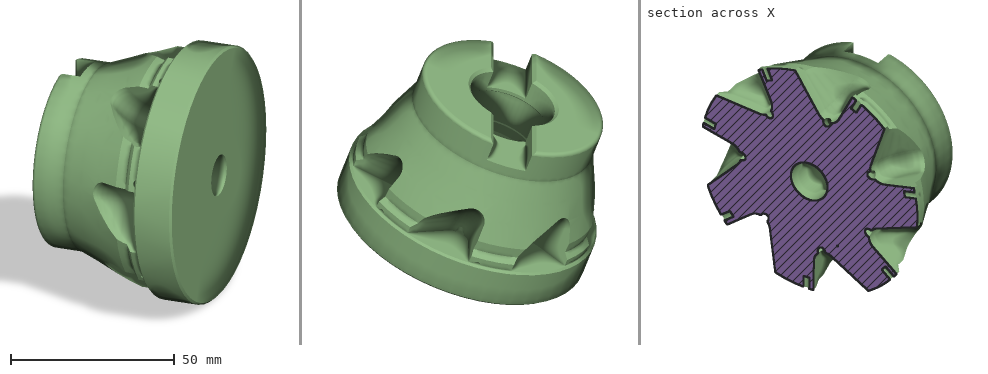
import cadquery as cq
import math

LENGTH = 49.95
FLANGE_RADIUS = 40.0
FLANGE_FACE = 37.4
FLANGE_CHAMFER = 0.6

HUB_RADIUS = 29.2
HUB_EDGE_FILLET = 1.3
CONE_START = 10.3
CONE_END = 30.45
BAND_RADIUS = 37.1
BAND_END = 33.6
COLLAR_RADIUS = 38.85
COLLAR_START = 35.25

BORE_RADIUS = 13.6
BORE_DEPTH = 22.0
BORE_CHAMFER = 0.95
RELIEF_RADIUS = 13.9
RELIEF_START = 8.0
RELIEF_END = 18.95
RELIEF_STEP = RELIEF_RADIUS - BORE_RADIUS
THROUGH_RADIUS = 6.5
THROUGH_CHAMFER = 0.95

SLOT_WIDTH = 12.5
SLOT_DEPTH = 6.95
SLOT_CHAMFER = 1.0

FLUTE_COUNT = 7
CUTTER_FACE_RADIUS = 12.7
CUTTER_RIM_RADIUS = 4.1
CUTTER_HALF_ANGLE = math.radians(30)
CUTTER_HEIGHT = 21.1
CUTTER_CENTER = (FLANGE_FACE, -40.0, 7.5)
CUTTER_AXIS = (-0.08, -0.24, -0.97)

COOLANT_RADIUS = 1.3
COOLANT_START = (BORE_DEPTH - 2.4, -11.35, -1.6)
COOLANT_END = (39.65, -26.4, 1.4)

COLLAR_HOLE_RADIUS = 1.3
COLLAR_HOLE_DEPTH = 4.0
COLLAR_HOLE_OFFSET = 0.5
COLLAR_HOLE_ANGLE = 14.4


def around_axis(shape):
    """Yield one copy of the shape per flute, evenly turned about the X axis."""
    for index in range(FLUTE_COUNT):
        turn = index * 360 / FLUTE_COUNT
        yield cq.Workplane(shape.rotate(cq.Vector(0, 0, 0), cq.Vector(1, 0, 0), turn))


def make_body():
    """Hub, cone, band and collar, running on into the flange."""
    outline = (
        cq.Workplane("XY")
        .lineTo(0, HUB_RADIUS)
        .lineTo(CONE_START, HUB_RADIUS)
        .lineTo(CONE_END, BAND_RADIUS)
        .lineTo(BAND_END, BAND_RADIUS)
        .lineTo(COLLAR_START, COLLAR_RADIUS)
        .lineTo(LENGTH, COLLAR_RADIUS)
        .lineTo(LENGTH, 0)
        .close()
    )
    body = outline.revolve(360, (0, 0, 0), (1, 0, 0))
    return body.faces("<X").edges().fillet(HUB_EDGE_FILLET)


def make_flange():
    """Plain disk with both rims chamfered."""
    return (
        cq.Workplane("YZ", origin=(FLANGE_FACE, 0, 0))
        .circle(FLANGE_RADIUS)
        .extrude(LENGTH - FLANGE_FACE)
        .edges()
        .chamfer(FLANGE_CHAMFER)
    )


def make_cutter():
    """Flat face at height 0, rounded rim, then a cone tapering to the far end."""
    rim_middle = (CUTTER_HALF_ANGLE - math.pi / 2) / 2

    def rim_point(angle):
        return (
            CUTTER_FACE_RADIUS + CUTTER_RIM_RADIUS * math.cos(angle),
            CUTTER_RIM_RADIUS * (1 + math.sin(angle)),
        )

    cone_radius, cone_base = rim_point(CUTTER_HALF_ANGLE)
    end_radius = cone_radius - (CUTTER_HEIGHT - cone_base) * math.tan(CUTTER_HALF_ANGLE)
    profile = (
        cq.Workplane("XY")
        .lineTo(CUTTER_FACE_RADIUS, 0)
        .threePointArc(rim_point(rim_middle), rim_point(CUTTER_HALF_ANGLE))
        .lineTo(end_radius, CUTTER_HEIGHT)
        .lineTo(0, CUTTER_HEIGHT)
        .close()
    )
    upright = profile.revolve(360, (0, 0, 0), (0, 1, 0)).rotate((0, 0, 0), (1, 0, 0), 90)
    seat = cq.Plane(origin=CUTTER_CENTER, normal=CUTTER_AXIS)
    return upright.val().moved(cq.Location(seat))


def make_coolant_hole():
    """Slanted hole running from the bore out into a flute."""
    start = cq.Vector(*COOLANT_START)
    run = cq.Vector(*COOLANT_END) - start
    return cq.Solid.makeCylinder(COOLANT_RADIUS, run.Length, start, run)


def make_collar_hole():
    """Radial hole entering the collar between two flutes."""
    angle = math.radians(COLLAR_HOLE_ANGLE)
    outward = cq.Vector(0, -math.cos(angle), math.sin(angle))
    along = cq.Vector(FLANGE_FACE + COLLAR_HOLE_OFFSET, 0, 0)
    start = outward * (COLLAR_RADIUS - COLLAR_HOLE_DEPTH) + along
    return cq.Solid.makeCylinder(COLLAR_HOLE_RADIUS, 2 * COLLAR_HOLE_DEPTH, start, outward)


def make_bore():
    """Chamfered bore with its wall relief and the through hole beyond."""
    outline = (
        cq.Workplane("XY")
        .lineTo(0, BORE_RADIUS + BORE_CHAMFER)
        .lineTo(BORE_CHAMFER, BORE_RADIUS)
        .lineTo(RELIEF_START, BORE_RADIUS)
        .lineTo(RELIEF_START + RELIEF_STEP, RELIEF_RADIUS)
        .lineTo(RELIEF_END - RELIEF_STEP, RELIEF_RADIUS)
        .lineTo(RELIEF_END, BORE_RADIUS)
        .lineTo(BORE_DEPTH, BORE_RADIUS)
        .lineTo(BORE_DEPTH, THROUGH_RADIUS + THROUGH_CHAMFER)
        .lineTo(BORE_DEPTH + THROUGH_CHAMFER, THROUGH_RADIUS)
        .lineTo(LENGTH, THROUGH_RADIUS)
        .lineTo(LENGTH, 0)
        .close()
    )
    return outline.revolve(360, (0, 0, 0), (1, 0, 0))


def make_slot():
    """Slot along Z with chamfered mouth edges."""
    half = SLOT_WIDTH / 2
    return (
        cq.Workplane("XY", origin=(0, 0, -FLANGE_RADIUS))
        .moveTo(0, -half - SLOT_CHAMFER)
        .lineTo(SLOT_CHAMFER, -half)
        .lineTo(SLOT_DEPTH, -half)
        .lineTo(SLOT_DEPTH, half)
        .lineTo(SLOT_CHAMFER, half)
        .lineTo(0, half + SLOT_CHAMFER)
        .close()
        .extrude(2 * FLANGE_RADIUS)
    )


result = make_body()
for tool in (make_cutter(), make_coolant_hole(), make_collar_hole()):
    for copy in around_axis(tool):
        result = result.cut(copy)

result = result.union(make_flange())
result = result.cut(make_bore()).cut(make_slot())